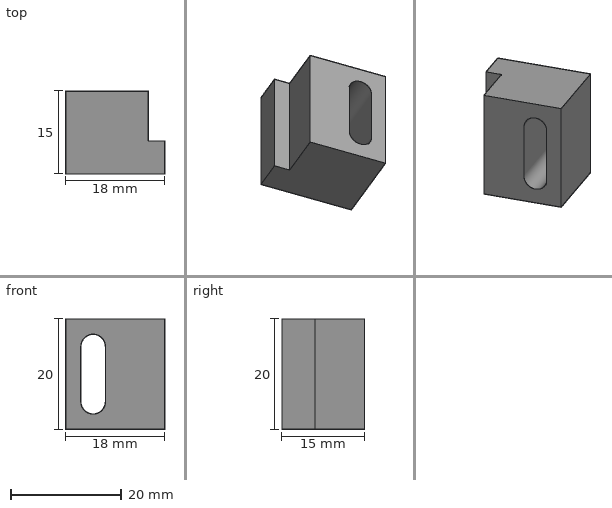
import cadquery as cq

length = 18.0
depth = 15.0
height = 20.0

lip_length = 3.0
lip_depth = 6.0

slot_width = 4.4
slot_height = 14.4
slot_center_x = 5.0


def stepped_block():
    """L-shaped profile in XY, extruded along Z."""
    body_length = length - lip_length
    return (
        cq.Workplane("XY")
        .moveTo(0, 0)
        .lineTo(length, 0)
        .lineTo(length, lip_depth)
        .lineTo(body_length, lip_depth)
        .lineTo(body_length, depth)
        .lineTo(0, depth)
        .close()
        .extrude(height)
    )


def slot_cutter():
    """Round-ended slot, centred in height and as deep as the block."""
    return (
        cq.Workplane("XZ")
        .center(slot_center_x, height / 2)
        .slot2D(slot_height, slot_width, 90)
        .extrude(-depth)
    )


result = stepped_block().cut(slot_cutter())